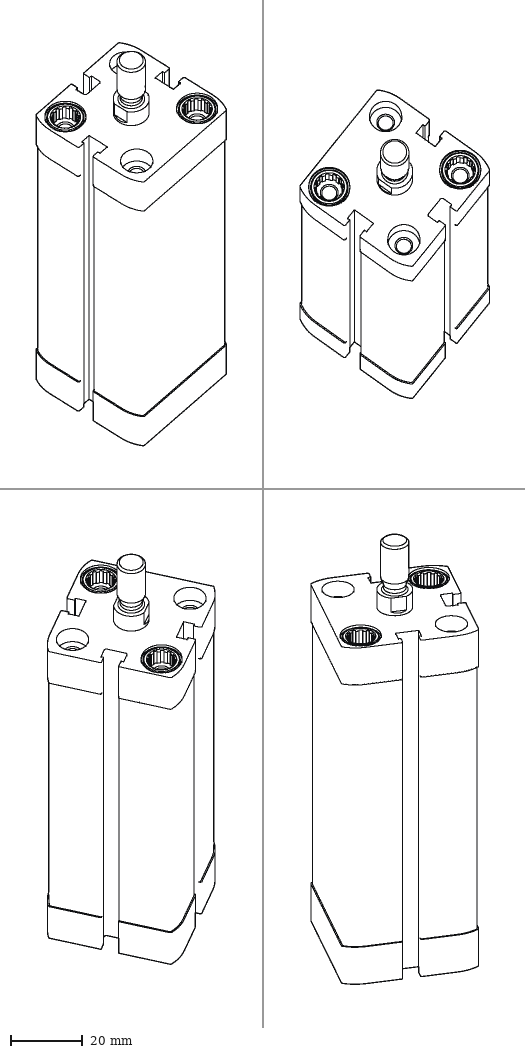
import cadquery as cq
import math


CAP_WIDTH = 39.5
HOUSING_HEIGHT = 109.0
CAP_HEIGHT = 12.0
BARREL_INSET = 0.4
CORNER_RADIUS = 12.5
CORNER_ARC_CENTRE_X = 13.2
CORNER_BLEND = 0.7

SLOT_MOUTH_WIDTH = 5.1
SLOT_INNER_WIDTH = 6.7
SLOT_LIP_DEPTH = 2.3
FRONT_SLOT_DEPTH = 5.5
FRONT_MOUTH_ROUND = 0.5
SIDE_SLOT_DEPTH = 5.9
SIDE_MOUTH_ROUND = 0.3
SIDE_FLOOR_FILLET = 0.7

HOLE_OFFSET = 13.0
HOLE_DIAMETER = 4.2
HOLE_RIM_DIAMETER = 5.0
BORE_DEPTH = 5.0
PLAIN_BORE_DIAMETER = 9.0

RECESS_DIAMETER = 11.5
RECESS_DEPTH = 0.8
COLLAR_DIAMETER = 10.5
COLLAR_CHAMFER = 0.3
COLLAR_SINK = 0.3
COUNTERSINK_DIAMETER = 8.5
COUNTERSINK_DEPTH = 0.5
SOCKET_DIAMETER = 7.5
SPLINE_DIAMETER = 8.0
SPLINE_COUNT = 12
SPLINE_START_ANGLE = 45

ROD_TOP = 130.5
ROD_DIAMETER = 10.0
SHOULDER_Z = 114.6
FLATS_WIDTH = 9.0
FLATS_BOTTOM_Z = 110.1
FLATS_RUNOUT = 0.4
NECK_DIAMETER = 6.3
NECK_FOOT_DIAMETER = 7.5
NECK_FOOT_HEIGHT = 0.5
NECK_TOP_Z = 116.3
THREAD_DIAMETER = 8.0
THREAD_BOTTOM_Z = 118.6
THREAD_CHAMFER = 0.7


def rounded_square(inset, bottom, height):
    """Prism of the housing outline, moved inward by the inset."""
    half = CAP_WIDTH / 2 - inset
    radius = CORNER_RADIUS - inset

    def arc_y(x):
        return half - radius + math.sqrt(radius**2 - (x - CORNER_ARC_CENTRE_X) ** 2)

    mid_x = (CORNER_ARC_CENTRE_X + half) / 2
    mid_y = arc_y(mid_x)
    end_y = arc_y(half)
    prism = (
        cq.Workplane("XY", origin=(0, 0, bottom))
        .moveTo(-CORNER_ARC_CENTRE_X, half)
        .lineTo(CORNER_ARC_CENTRE_X, half)
        .threePointArc((mid_x, mid_y), (half, end_y))
        .lineTo(half, -end_y)
        .threePointArc((mid_x, -mid_y), (CORNER_ARC_CENTRE_X, -half))
        .lineTo(-CORNER_ARC_CENTRE_X, -half)
        .threePointArc((-mid_x, -mid_y), (-half, -end_y))
        .lineTo(-half, end_y)
        .threePointArc((-mid_x, mid_y), (-CORNER_ARC_CENTRE_X, half))
        .close()
        .extrude(height)
    )
    return prism.edges("|Z").edges("<X or >X").fillet(CORNER_BLEND)


def t_slot(depth, inset, mouth_round):
    """T-slot cutter opening toward +Y over the full height, flared by the rounded mouth edges."""
    face_y = CAP_WIDTH / 2 - inset
    lip_y = CAP_WIDTH / 2 - SLOT_LIP_DEPTH
    floor_y = CAP_WIDTH / 2 - depth
    half_mouth = SLOT_MOUTH_WIDTH / 2
    half_inner = SLOT_INNER_WIDTH / 2
    flare = half_mouth + mouth_round
    bend = mouth_round * (1 - math.sqrt(0.5))
    return (
        cq.Workplane("XY")
        .moveTo(-flare, face_y)
        .threePointArc((-half_mouth - bend, face_y - bend), (-half_mouth, face_y - mouth_round))
        .lineTo(-half_mouth, lip_y)
        .lineTo(-half_inner, lip_y)
        .lineTo(-half_inner, floor_y)
        .lineTo(half_inner, floor_y)
        .lineTo(half_inner, lip_y)
        .lineTo(half_mouth, lip_y)
        .lineTo(half_mouth, face_y - mouth_round)
        .threePointArc((half_mouth + bend, face_y - bend), (flare, face_y))
        .close()
        .extrude(HOUSING_HEIGHT)
    )


def profile_section(inset, bottom, height):
    """One length of the housing: outline with its three T-slots."""
    section = rounded_square(inset, bottom, height)
    front_slot = t_slot(FRONT_SLOT_DEPTH, inset, FRONT_MOUTH_ROUND)
    side_slot = t_slot(SIDE_SLOT_DEPTH, inset, SIDE_MOUTH_ROUND)
    side_slot = side_slot.faces("<Y").edges("|Z").fillet(SIDE_FLOOR_FILLET)
    for cutter, angle in ((front_slot, 0), (side_slot, 90), (front_slot, 180)):
        section = section.cut(cutter.rotate((0, 0, 0), (0, 0, 1), angle))
    return section


def cylinder(diameter, top, bottom):
    return cq.Workplane("XY", origin=(0, 0, bottom)).circle(diameter / 2).extrude(top - bottom)


def cone(bottom_diameter, top_diameter, top, height):
    base = cq.Vector(0, 0, top - height)
    return cq.Workplane(cq.Solid.makeCone(bottom_diameter / 2, top_diameter / 2, height, pnt=base))


def bore_with_hole(diameter):
    """Cutter on the Z axis: a bore from the top face and the countersunk through hole in its floor."""
    floor_z = HOUSING_HEIGHT - BORE_DEPTH
    rim_depth = (HOLE_RIM_DIAMETER - HOLE_DIAMETER) / 2
    bore = cylinder(diameter, HOUSING_HEIGHT, floor_z)
    bore = bore.union(cylinder(HOLE_DIAMETER, HOUSING_HEIGHT, 0))
    return bore.union(cone(HOLE_DIAMETER, HOLE_RIM_DIAMETER, floor_z, rim_depth))


def spline_grooves(top):
    """Cutter for the evenly spaced grooves in the socket wall, as wide as the teeth between them."""
    floor_z = HOUSING_HEIGHT - BORE_DEPTH
    pitch = 360 / SPLINE_COUNT
    reach = SPLINE_DIAMETER
    half_width = reach * math.tan(math.radians(pitch / 4))
    wedge = (
        cq.Workplane("XY", origin=(0, 0, floor_z))
        .polyline([(0, 0), (reach, -half_width), (reach, half_width)])
        .close()
        .extrude(top - floor_z)
    )
    groove = wedge.intersect(cylinder(SPLINE_DIAMETER, top, floor_z))
    return [
        groove.rotate((0, 0, 0), (0, 0, 1), SPLINE_START_ANGLE + i * pitch) for i in range(SPLINE_COUNT)
    ]


def splined_socket():
    """Cutter on the Z axis: recess around a sunk collar, countersink, splined bore and hole."""
    collar_top = HOUSING_HEIGHT - COLLAR_SINK
    recess_floor = HOUSING_HEIGHT - RECESS_DEPTH
    collar = cylinder(COLLAR_DIAMETER, collar_top, recess_floor).faces(">Z").chamfer(COLLAR_CHAMFER)
    cutter = cylinder(RECESS_DIAMETER, HOUSING_HEIGHT, recess_floor).cut(collar)
    cutter = cutter.union(bore_with_hole(SOCKET_DIAMETER))
    cutter = cutter.union(cone(SOCKET_DIAMETER, COUNTERSINK_DIAMETER, collar_top, COUNTERSINK_DEPTH))
    for groove in spline_grooves(collar_top):
        cutter = cutter.union(groove)
    return cutter


def make_housing():
    upper_cap_bottom = HOUSING_HEIGHT - CAP_HEIGHT
    housing = profile_section(0, 0, CAP_HEIGHT)
    housing = housing.union(profile_section(BARREL_INSET, CAP_HEIGHT, upper_cap_bottom - CAP_HEIGHT))
    housing = housing.union(profile_section(0, upper_cap_bottom, CAP_HEIGHT))

    plain_bore = bore_with_hole(PLAIN_BORE_DIAMETER)
    socket = splined_socket()
    for side in (-1, 1):
        x = side * HOLE_OFFSET
        housing = housing.cut(plain_bore.translate((x, -x, 0)))
        housing = housing.cut(socket.translate((x, x, 0)))
    return housing


def wrench_flat():
    """Cutter for the flat on the +Y side of the rod, with a sloped run-out at its bottom."""
    flat_y = FLATS_WIDTH / 2
    rod_y = ROD_DIAMETER / 2
    return (
        cq.Workplane("YZ")
        .moveTo(flat_y, SHOULDER_Z)
        .lineTo(flat_y, FLATS_BOTTOM_Z)
        .lineTo(rod_y, FLATS_BOTTOM_Z - FLATS_RUNOUT)
        .lineTo(rod_y, SHOULDER_Z)
        .close()
        .extrude(ROD_DIAMETER / 2, both=True)
    )


def make_rod():
    """Rod standing on the housing's top face: shoulder with two flats, neck and thread."""
    rod = (
        cq.Workplane("XZ")
        .moveTo(0, HOUSING_HEIGHT)
        .lineTo(ROD_DIAMETER / 2, HOUSING_HEIGHT)
        .lineTo(ROD_DIAMETER / 2, SHOULDER_Z)
        .lineTo(NECK_FOOT_DIAMETER / 2, SHOULDER_Z)
        .lineTo(NECK_DIAMETER / 2, SHOULDER_Z + NECK_FOOT_HEIGHT)
        .lineTo(NECK_DIAMETER / 2, NECK_TOP_Z)
        .lineTo(THREAD_DIAMETER / 2, THREAD_BOTTOM_Z)
        .lineTo(THREAD_DIAMETER / 2, ROD_TOP - THREAD_CHAMFER)
        .lineTo(THREAD_DIAMETER / 2 - THREAD_CHAMFER, ROD_TOP)
        .lineTo(0, ROD_TOP)
        .close()
        .revolve(360, (0, 0, 0), (0, 1, 0))
    )
    for angle in (0, 180):
        rod = rod.cut(wrench_flat().rotate((0, 0, 0), (0, 0, 1), angle))
    return rod


housing = make_housing()
piston_rod = make_rod()

result = cq.Compound.makeCompound([housing.solids().val(), piston_rod.solids().val()])